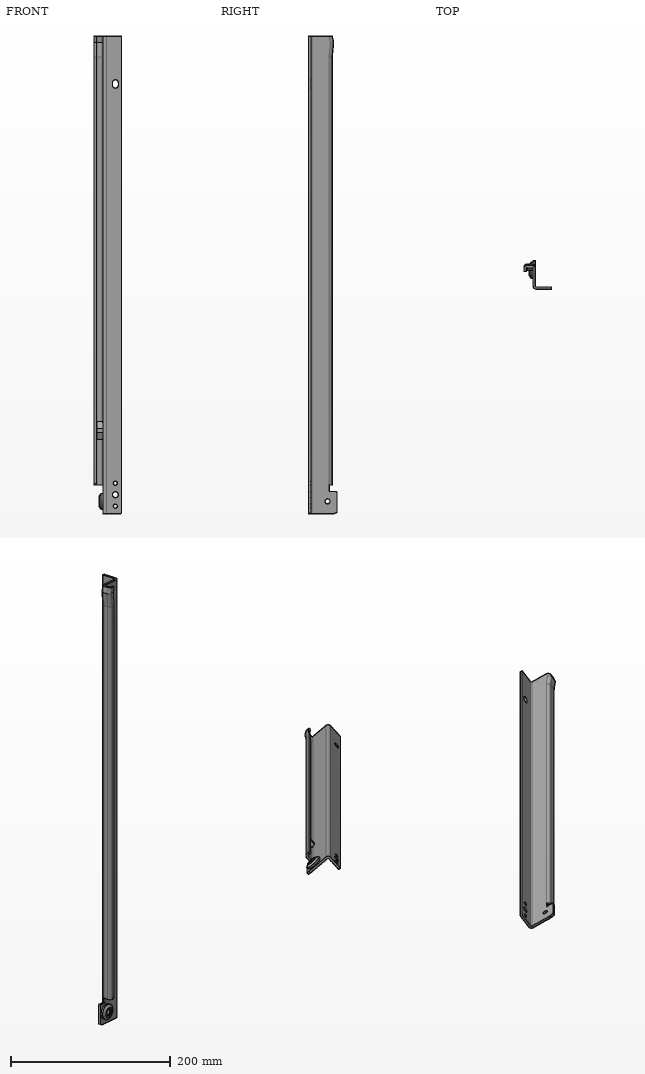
import cadquery as cq

length = 600.0
total_width = 35.0
total_depth = 36.0
sheet = 3.0
outer_radius = 4.0
inner_radius = outer_radius - sheet

web_left = 11.5
web_right = web_left + sheet
shelf_back = 30.0
shelf_front = shelf_back - sheet
lip_edge = 22.0
lip_corner_chamfer = 2.0

track_bottom = 36.0
ramp_start = 573.5
ramp_peak = 592.0
ramp_rise = 2.0

bump_depth = 3.5
bump_bottom = 93.5
bump_low_crest = 102.0
bump_high_crest = 107.5
bump_top = 116.0

neck_depth = 26.5
tab_top = 28.0
tab_fillet = 2.0
tab_chamfer_depth = 3.5
tab_chamfer_height = 2.0

roller_y = 24.0
roller_z = 15.5
roller_radius = 10.0
roller_face = 6.5
roller_chamfer_radial = 3.5
roller_chamfer_axial = 2.5
rivet_recess_radius = 5.0
rivet_recess_depth = 2.0
rivet_bore_radius = 3.0

hole_x = 27.0
main_hole_z = 24.0
main_hole_diameter = 7.0
pilot_offset = 14.5
pilot_diameter = 5.0
slot_z = 540.0
slot_width = 7.0
slot_height = 10.0
flange_corner_radius = 2.0
cut_margin = 6.0


def bend(path, start, corner, end):
    """Draw a straight run to start, then a quarter-circle bend to end around the corner point."""
    center = (start[0] + end[0] - corner[0], start[1] + end[1] - corner[1])
    middle = tuple(c + (k - c) * 0.5 ** 0.5 for c, k in zip(center, corner))
    return path.lineTo(*start).threePointArc(middle, end)


def track_profile(z, rise):
    """Upper half of the web, the shelf and the lip; rise shifts the shelf and lip towards +Y."""
    back = shelf_back + rise
    front = shelf_front + rise
    edge = lip_edge + rise

    path = cq.Workplane("XY", origin=(0, 0, z)).moveTo(web_right, total_depth / 2)
    path = bend(path, (web_right, back - outer_radius), (web_right, back), (web_right - outer_radius, back))
    path = bend(path, (outer_radius, back), (0, back), (0, back - outer_radius))
    path = path.lineTo(0, edge).lineTo(sheet, edge)
    path = bend(path, (sheet, front - inner_radius), (sheet, front), (sheet + inner_radius, front))
    path = bend(path, (web_left - inner_radius, front), (web_left, front), (web_left, front - inner_radius))
    return path.lineTo(web_left, total_depth / 2).close().wires().val()


def track():
    """Straight track with a shallow hump at the top and the bottom corner of the lip bevelled."""
    stations = [(track_bottom, 0), (ramp_start, 0), (ramp_peak, ramp_rise), (length, 0)]
    wires = [track_profile(z, rise) for z, rise in stations]
    body = cq.Workplane("XY")
    for lower, upper in zip(wires, wires[1:]):
        body = body.union(cq.Workplane(cq.Solid.makeLoft([lower, upper], True)))
    corner = cq.selectors.NearestToPointSelector((sheet / 2, lip_edge, track_bottom))
    return body.edges(corner).chamfer(lip_corner_chamfer)


def angle():
    """Lower half of the web bent into the mounting flange, with the bottom flange corner rounded."""
    path = cq.Workplane("XY").moveTo(web_right, neck_depth - outer_radius)
    path = path.lineTo(web_left, neck_depth - outer_radius)
    path = bend(path, (web_left, outer_radius), (web_left, 0), (web_left + outer_radius, 0))
    path = path.lineTo(total_width, 0).lineTo(total_width, sheet)
    path = bend(path, (web_right + inner_radius, sheet), (web_right, sheet), (web_right, outer_radius))
    body = path.close().extrude(length)
    bottom_corner = cq.selectors.NearestToPointSelector((total_width, sheet / 2, 0))
    return body.edges("|Y").edges(bottom_corner).fillet(flange_corner_radius)


def roller_tab():
    """Flat bottom end of the web: a narrow neck below the track and a full-depth tab."""
    web_plane = cq.Workplane("YZ", origin=(web_left, 0, 0))
    base = outer_radius
    neck = web_plane.moveTo(base, 0).lineTo(neck_depth, 0).lineTo(neck_depth, track_bottom)
    neck = neck.lineTo(base, track_bottom).close().extrude(sheet)
    tab = web_plane.moveTo(base, 0).lineTo(total_depth - tab_chamfer_depth, 0)
    tab = tab.lineTo(total_depth, tab_chamfer_height).lineTo(total_depth, tab_top - tab_fillet)
    tab = tab.radiusArc((total_depth - tab_fillet, tab_top), -tab_fillet)
    tab = tab.lineTo(base, tab_top).close().extrude(sheet)
    return neck.union(tab)


def stop_bump():
    """Trapezoidal bump on the inside of the shelf, spanning from the lip bend to the web."""
    crest = shelf_front - bump_depth
    outline = [
        (shelf_front + sheet / 2, bump_bottom),
        (shelf_front, bump_bottom),
        (crest, bump_low_crest),
        (crest, bump_high_crest),
        (shelf_front, bump_top),
        (shelf_front + sheet / 2, bump_top),
    ]
    bump_left = sheet + inner_radius
    bump_width = web_left + sheet / 2 - bump_left
    return cq.Workplane("YZ", origin=(bump_left, 0, 0)).polyline(outline).close().extrude(bump_width)


def roller_plane(x):
    return cq.Workplane("YZ", origin=(x, roller_y, roller_z))


def roller():
    """Disc on the web's outer face with a wide bevel around its face."""
    disc = roller_plane(roller_face).circle(roller_radius).extrude(web_left - roller_face)
    return disc.faces("<X").chamfer(roller_chamfer_axial, roller_chamfer_radial)


def rivet_cut():
    """Shallow recess in the roller face and a bore through roller and web."""
    recess = roller_plane(roller_face).circle(rivet_recess_radius).extrude(rivet_recess_depth)
    bore = roller_plane(roller_face).circle(rivet_bore_radius).extrude(web_right - roller_face + cut_margin)
    return recess.union(bore)


def flange_cuts():
    """Large hole between two pilot holes at the bottom, and a vertical slot near the top."""
    holes = [
        (main_hole_z, main_hole_diameter),
        (main_hole_z - pilot_offset, pilot_diameter),
        (main_hole_z + pilot_offset, pilot_diameter),
    ]
    plane = cq.Workplane("XZ", origin=(hole_x, sheet + cut_margin, 0))
    depth = sheet + 2 * cut_margin
    cuts = plane.center(0, slot_z).slot2D(slot_height, slot_width, 90).extrude(depth)
    for z, diameter in holes:
        cuts = cuts.union(plane.center(0, z).circle(diameter / 2).extrude(depth))
    return cuts


result = angle().union(track()).union(roller_tab()).union(stop_bump()).union(roller())
result = result.cut(rivet_cut()).cut(flange_cuts())